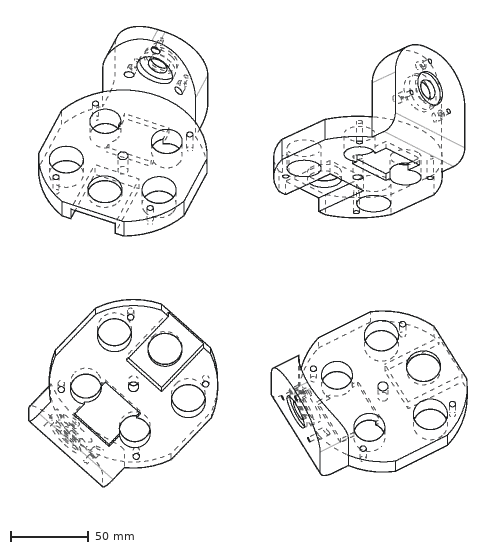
import cadquery as cq
import math

disc_radius = 54.5
plate_thickness = 15.0
plate_width = 102.0
front_flat_distance = 50.0

wall_width = 65.0
wall_height = 70.0
wall_back = 64.5
wall_corner_radius = 30.0
wall_heel_radius = 10.0

seat_height = 41.0
shaft_diameter = 13.1
seat_diameter = 25.0
seat_floor = 58.0
back_recess_diameter = 23.0
back_recess_depth = 2.0
screw_count = 3
screw_circle_radius = 20.0
screw_diameter = 3.05
screw_head_diameter = 6.0
screw_head_floor = 58.0

pivot_diameter = 6.5
corner_hole_diameter = 4.0
corner_hole_offset = 33.0
rear_window_diameter = 20.0
rear_window_centers = [(-21.5, 22.0), (21.5, 22.0)]
front_window_diameter = 22.0
front_window_centers = [(-32.5, -17.0), (0.0, -30.0), (32.5, -17.0)]

recess_width = 31.0
web_half_width = 10.0
front_recess_height = 10.0
rear_recess_height = 5.0
rear_recess_end = 40.0


def base_plate():
    disc = cq.Workplane("XY").circle(disc_radius).extrude(plate_thickness)
    trim_length = front_flat_distance + disc_radius
    trim = (
        cq.Workplane("XY")
        .center(0, trim_length / 2 - front_flat_distance)
        .rect(plate_width, trim_length)
        .extrude(plate_thickness)
    )
    return disc.intersect(trim)


def upright_wall():
    """Round-topped wall whose front face is hollowed to the disc radius."""
    wall = (
        cq.Workplane("XY")
        .center(0, wall_back / 2)
        .rect(wall_width, wall_back)
        .extrude(wall_height)
        .edges("|Y and >Z")
        .fillet(wall_corner_radius)
        .edges(">Y and <Z")
        .fillet(wall_heel_radius)
    )
    hollow = cq.Workplane("XY").circle(disc_radius).extrude(wall_height)
    return wall.cut(hollow)


def wall_bore(x, z, diameter, end, start=0.0):
    """Cylinder along Y, at the given X and Z, between the start and end Y positions."""
    bore = cq.Workplane("XZ", origin=(0, start, 0)).center(x, z).circle(diameter / 2)
    return bore.extrude(start - end)


def cut_bearing_seat(body):
    back_recess_floor = wall_back - back_recess_depth
    body = body.cut(wall_bore(0, seat_height, shaft_diameter, wall_back))
    body = body.cut(wall_bore(0, seat_height, seat_diameter, seat_floor))
    return body.cut(wall_bore(0, seat_height, back_recess_diameter, wall_back, back_recess_floor))


def cut_wall_screws(body):
    for index in range(screw_count):
        angle = math.radians(90 + index * 360 / screw_count)
        x = screw_circle_radius * math.cos(angle)
        z = seat_height + screw_circle_radius * math.sin(angle)
        body = body.cut(wall_bore(x, z, screw_diameter, wall_back))
        body = body.cut(wall_bore(x, z, screw_head_diameter, screw_head_floor))
    return body


def cut_plate_holes(body, centers, diameter):
    holes = cq.Workplane("XY").pushPoints(centers).circle(diameter / 2)
    return body.cut(holes.extrude(plate_thickness))


def cut_recess(body, front, rear, height):
    """Rectangular recess in the underside between two Y positions."""
    recess = (
        cq.Workplane("XY")
        .center(0, (front + rear) / 2)
        .rect(recess_width, rear - front)
        .extrude(height)
    )
    return body.cut(recess)


corner_hole_centers = [
    (x_side * corner_hole_offset, y_side * corner_hole_offset)
    for x_side in (-1, 1)
    for y_side in (-1, 1)
]

result = base_plate().union(upright_wall())
result = cut_bearing_seat(result)
result = cut_wall_screws(result)
result = cut_plate_holes(result, [(0, 0)], pivot_diameter)
result = cut_plate_holes(result, corner_hole_centers, corner_hole_diameter)
result = cut_plate_holes(result, rear_window_centers, rear_window_diameter)
result = cut_plate_holes(result, front_window_centers, front_window_diameter)
result = cut_recess(result, -front_flat_distance, -web_half_width, front_recess_height)
result = cut_recess(result, web_half_width, rear_recess_end, rear_recess_height)